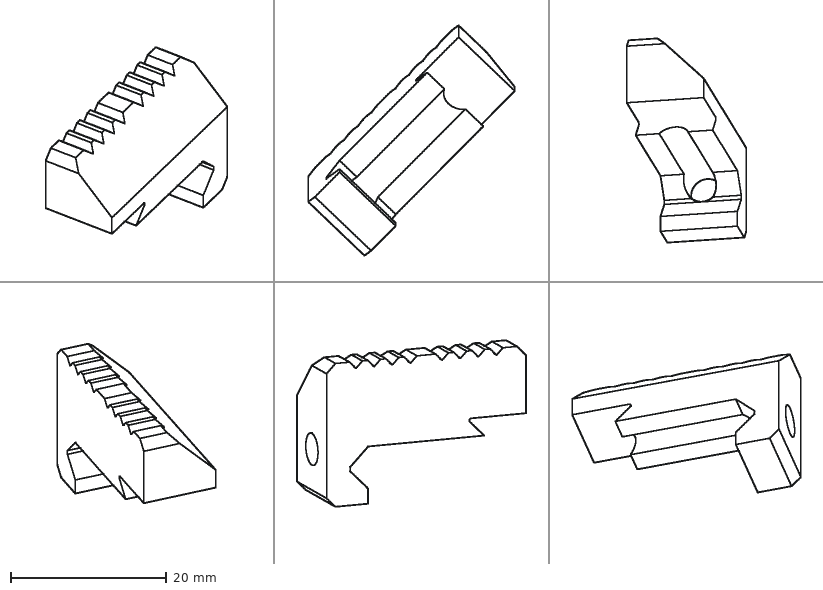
import cadquery as cq
import math

width = 10.15
length = 27.8
height = 19.02
front = -length / 2
back = length / 2

edge_chamfer = 1.25
side_chamfer = 6.35

groove_depth = 0.9
groove_pitch = 2.53
grooves_per_group = 4
first_groove_offset = 2.2

body_bottom = 7.6
ledge_height = 10.05
tip_inset = 5.8
relief_radius = 0.25
hook_lip_height = 2.03
hook_undercut = 2.5

bore_diameter = 4.2
bore_x = 5.0
bore_height = 6.67


def side_profile():
    """Closed Y-Z outline of the clamp without its teeth; the 45 degree front root is rounded tangentially."""
    tip_y = front + tip_inset
    root_y = tip_y + ledge_height - body_bottom
    tangent_length = relief_radius / math.tan(math.pi / 8)
    tangent_step = tangent_length * math.sqrt(0.5)
    lip_y = back - tip_inset
    throat_y = lip_y + hook_undercut
    return (
        cq.Workplane("YZ")
        .moveTo(front, ledge_height)
        .lineTo(root_y - tangent_length, ledge_height)
        .radiusArc((root_y - tangent_step, ledge_height - tangent_step), relief_radius)
        .lineTo(tip_y, body_bottom)
        .lineTo(lip_y, body_bottom)
        .lineTo(throat_y, body_bottom - hook_undercut)
        .lineTo(throat_y, hook_lip_height + hook_undercut)
        .lineTo(lip_y, hook_lip_height)
        .lineTo(lip_y, 0)
        .lineTo(back - edge_chamfer, 0)
        .lineTo(back, edge_chamfer)
        .lineTo(back, height - edge_chamfer)
        .lineTo(back - edge_chamfer, height)
        .lineTo(front + edge_chamfer, height)
        .lineTo(front, height - edge_chamfer)
        .close()
    )


def tooth_groove(apex_y):
    """V-groove cutter across the full width of the top face."""
    return (
        cq.Workplane("YZ")
        .moveTo(apex_y - groove_depth, height)
        .lineTo(apex_y, height - groove_depth)
        .lineTo(apex_y + groove_depth, height)
        .close()
        .extrude(width)
    )


def side_bevel():
    """Wedge removed from the upper +X edge."""
    return (
        cq.Workplane("XZ", origin=(0, back, 0))
        .moveTo(width - side_chamfer, height)
        .lineTo(width, height)
        .lineTo(width, height - side_chamfer)
        .close()
        .extrude(length)
    )


def screw_bore():
    """Cylinder along the full length of the part."""
    return (
        cq.Workplane("XZ", origin=(0, back, 0))
        .center(bore_x, bore_height)
        .circle(bore_diameter / 2)
        .extrude(length)
    )


result = side_profile().extrude(width)

for index in range(grooves_per_group):
    offset = first_groove_offset + index * groove_pitch
    for side in (-1, 1):
        result = result.cut(tooth_groove(side * offset))

result = result.cut(side_bevel()).cut(screw_bore())